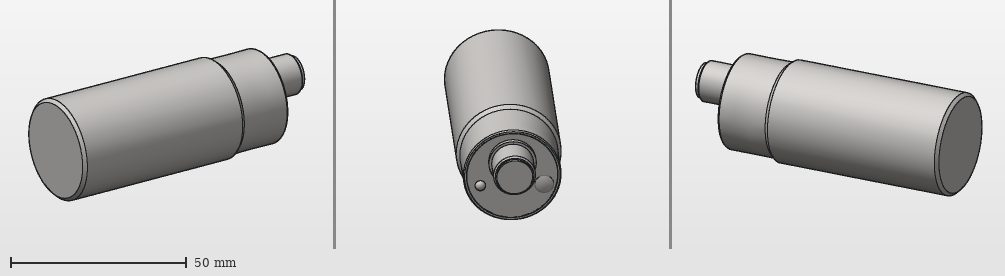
import cadquery as cq

overall_length = 81.5
sensing_face_y = -overall_length / 2
connector_tip_y = overall_length / 2

body_diameter = 30.0
face_chamfer = 1.0
shoulder_y = 14.35
shoulder_bevel_length = 1.2

neck_base_diameter = 28.0
neck_end_diameter = 27.95
neck_end_y = 29.4
rim_bevel_length = 0.5
rim_bevel_width = 0.3
groove_outer_diameter = 26.2
groove_inner_diameter = 26.0
groove_depth = 0.5

connector_z = 4.4
collar_diameter = 13.5
collar_height = 1.5
plug_diameter = 12.0
plug_chamfer = 0.5
tip_diameter = 10.3
tip_length = 1.0

lamp_diameter = 3.0
side_feature_x = 9.1
side_feature_z = -2.85
cap_diameter = 5.4
cap_height = 0.5


def cylinder(diameter, start_y, end_y, x=0.0, z=0.0):
    """Cylinder parallel to Y between two Y positions."""
    base = cq.Workplane("XZ", origin=(x, start_y, z))
    return base.circle(diameter / 2).extrude(start_y - end_y)


def make_housing():
    body_radius = body_diameter / 2
    neck_base_radius = neck_base_diameter / 2
    neck_end_radius = neck_end_diameter / 2
    half_profile = [
        (0, sensing_face_y),
        (body_radius - face_chamfer, sensing_face_y),
        (body_radius, sensing_face_y + face_chamfer),
        (body_radius, shoulder_y - shoulder_bevel_length),
        (neck_base_radius, shoulder_y),
        (neck_end_radius, neck_end_y - rim_bevel_length),
        (neck_end_radius - rim_bevel_width, neck_end_y),
        (0, neck_end_y),
    ]
    housing = cq.Workplane("XY").polyline(half_profile).close().revolve(360, (0, 0), (0, 1))
    groove_floor_y = neck_end_y - groove_depth
    groove = cylinder(groove_outer_diameter, groove_floor_y, neck_end_y)
    groove = groove.cut(cylinder(groove_inner_diameter, groove_floor_y, neck_end_y))
    return housing.cut(groove)


def make_connector():
    collar_end_y = neck_end_y + collar_height
    plug_end_y = connector_tip_y - tip_length
    collar = cylinder(collar_diameter, neck_end_y, collar_end_y, z=connector_z)
    plug = cylinder(plug_diameter, neck_end_y, plug_end_y, z=connector_z)
    plug = plug.faces(">Y").edges().chamfer(plug_chamfer)
    tip = cylinder(tip_diameter, neck_end_y, connector_tip_y, z=connector_z)
    return collar.union(plug).union(tip)


def make_lamp():
    lamp_center = (side_feature_x, neck_end_y, side_feature_z)
    return cq.Workplane("XY").sphere(lamp_diameter / 2).translate(lamp_center)


def make_adjuster_cap():
    """Shallow spherical dome standing on the end face."""
    cap_radius = cap_diameter / 2
    dome_radius = (cap_radius**2 + cap_height**2) / (2 * cap_height)
    dome_center_y = neck_end_y + cap_height - dome_radius
    dome = cq.Workplane("XY").sphere(dome_radius)
    dome = dome.translate((-side_feature_x, dome_center_y, side_feature_z))
    footprint = cylinder(
        cap_diameter, shoulder_y, neck_end_y + cap_height, x=-side_feature_x, z=side_feature_z
    )
    above_face = cylinder(body_diameter, neck_end_y, connector_tip_y)
    return dome.intersect(footprint).intersect(above_face)


result = make_housing().union(make_connector()).union(make_lamp()).union(make_adjuster_cap())